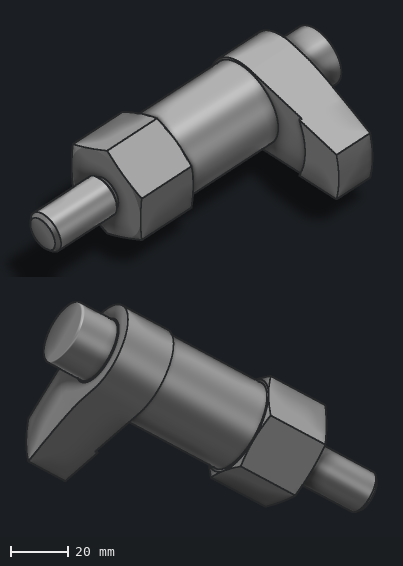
import cadquery as cq
import math


pin_length = 30.0
hex_length = 25.0
body_length = 41.0
hub_length = 19.6
collar_height = 0.3
total_length = 131.0

pin_radius = 16.0 / 2
neck_radius = 13.0 / 2
neck_length = 1.0
pin_chamfer = pin_radius - neck_radius
neck_taper_length = 1.0

hex_flats = 36.0
hex_corners = hex_flats / math.cos(math.pi / 6)
pin_side_bevel = 0.5
body_side_bevel = 0.9

body_radius = 34.0 / 2
cap_radius = 24.0 / 2
cap_fillet = 0.9

hub_radius = hex_flats / 2
lever_reach = 67.9 - hub_radius
lever_taper = math.radians(8.2)
collar_radius = 25.0 / 2
lever_bend_radius = 22.3
lever_tip_drop = 4.7
pad_inner_radius = 32.2
pad_height = 1.0

hex_top = pin_length + hex_length
hub_bottom = hex_top + body_length
hub_top = hub_bottom + hub_length


def revolve_about_y(profile):
    return profile.close().revolve(360, (0, 0, 0), (0, 1, 0))


def make_pin():
    return revolve_about_y(
        cq.Workplane("XY")
        .lineTo(neck_radius, 0)
        .lineTo(pin_radius, pin_chamfer)
        .lineTo(pin_radius, pin_length - neck_length - neck_taper_length)
        .lineTo(neck_radius, pin_length - neck_length)
        .lineTo(neck_radius, pin_length)
        .lineTo(0, pin_length)
    )


def make_hexagon():
    prism = (
        cq.Workplane("XZ", origin=(0, pin_length, 0))
        .transformed(rotate=(0, 0, 90))
        .polygon(6, hex_corners)
        .extrude(-hex_length)
    )
    envelope = revolve_about_y(
        cq.Workplane("XY")
        .moveTo(0, pin_length)
        .lineTo(hex_flats / 2, pin_length)
        .lineTo(hex_corners / 2, pin_length + pin_side_bevel)
        .lineTo(hex_corners / 2, hex_top - body_side_bevel)
        .lineTo(hex_flats / 2, hex_top)
        .lineTo(0, hex_top)
    )
    return prism.intersect(envelope)


def make_body_and_cap():
    return revolve_about_y(
        cq.Workplane("XY")
        .moveTo(0, hex_top)
        .lineTo(body_radius, hex_top)
        .lineTo(body_radius, hub_bottom)
        .lineTo(collar_radius, hub_bottom)
        .lineTo(collar_radius, hub_top + collar_height)
        .lineTo(cap_radius, hub_top + collar_height)
        .lineTo(cap_radius, total_length - cap_fillet)
        .tangentArcPoint((-cap_fillet, cap_fillet))
        .lineTo(0, total_length)
    )


def make_lever():
    pad_bottom = hub_bottom - pad_height
    tangent_x = hub_radius * math.sin(lever_taper)
    tangent_z = hub_radius * math.cos(lever_taper)
    end_z = tangent_z - (lever_reach - tangent_x) * math.tan(lever_taper)
    outline = (
        cq.Workplane("XZ", origin=(0, pad_bottom, 0))
        .moveTo(tangent_x, tangent_z)
        .lineTo(lever_reach, end_z)
        .lineTo(lever_reach, -end_z)
        .lineTo(tangent_x, -tangent_z)
        .threePointArc((-hub_radius, 0), (tangent_x, tangent_z))
        .close()
        .extrude(-(hub_top - pad_bottom))
    )
    bend_width = lever_bend_radius - hub_radius
    cone_width = lever_reach - lever_bend_radius
    slope = lever_tip_drop / (cone_width + bend_width / 2)
    bend_drop = lever_tip_drop - cone_width * slope
    envelope = revolve_about_y(
        cq.Workplane("XY")
        .moveTo(0, hub_bottom)
        .lineTo(pad_inner_radius, hub_bottom)
        .lineTo(pad_inner_radius, pad_bottom)
        .lineTo(lever_reach, pad_bottom)
        .lineTo(lever_reach, hub_top - lever_tip_drop)
        .lineTo(lever_bend_radius, hub_top - bend_drop)
        .tangentArcPoint((hub_radius, hub_top), relative=False)
        .lineTo(0, hub_top)
    )
    return outline.intersect(envelope)


result = make_pin().union(make_hexagon()).union(make_body_and_cap()).union(make_lever())